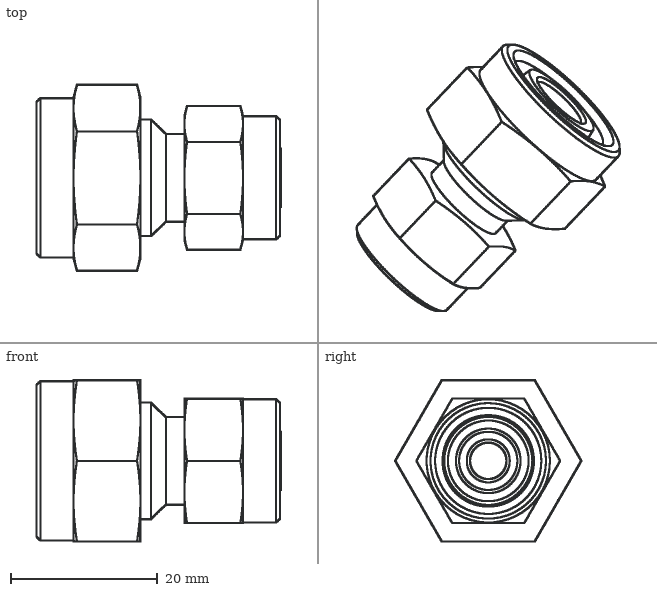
import cadquery as cq
import math

total_length = 33.4
hose_wall = 2.05
through_radius = 2.47

large_shoulder_radius = 7.98
large_across_flats = 22.0
large_collar_radius = 10.9
large_nut_length = 14.2
large_nose_setback = 0.4
large_bore_radius = 4.05
large_bore_end = 14.7
drill_point_angle = 118.0

small_shoulder_radius = 6.0
small_across_flats = 17.0
small_collar_radius = 8.42
small_nut_length = 13.05
small_nose_projection = 0.15

taper_start = 15.63
taper_end = 17.67

bore_chamfer = 0.47
lead_length = 2.2
lead_rise = 0.45
bead_radius = 0.57
root_length = 3.35
root_rise = 0.55
nose_length = lead_length + bead_radius + root_length

collar_length = 5.08
collar_chamfer = 0.55
lip_clearance = 0.25
mouth_flare = 1.0
hex_chamfer_angle = 15.0


def revolve_about_x(profile):
    """Revolve a closed profile, with x along the axis and y as radius, about the X axis."""
    return profile.close().revolve(360, (0, 0, 0), (1, 0, 0))


def make_nut(shoulder_radius, across_flats, collar_radius, length, shoulder_depth):
    """Nut with its mouth at x = 0, bored to fit the body shoulder beyond shoulder_depth."""
    flat_radius = across_flats / 2
    corner_radius = flat_radius / math.cos(math.pi / 6)
    corner_setback = (corner_radius - flat_radius) * math.tan(math.radians(hex_chamfer_angle))

    collar = revolve_about_x(
        cq.Workplane("XY")
        .moveTo(0, 0)
        .lineTo(0, collar_radius - collar_chamfer)
        .lineTo(collar_chamfer, collar_radius)
        .lineTo(collar_length, collar_radius)
        .lineTo(collar_length, 0)
    )
    hexagon = (
        cq.Workplane("YZ", origin=(collar_length, 0, 0))
        .polygon(6, 2 * corner_radius)
        .extrude(length - collar_length)
    )
    corner_trim = revolve_about_x(
        cq.Workplane("XY")
        .moveTo(collar_length, 0)
        .lineTo(collar_length, flat_radius)
        .lineTo(collar_length + corner_setback, corner_radius)
        .lineTo(length - corner_setback, corner_radius)
        .lineTo(length, flat_radius)
        .lineTo(length, 0)
    )
    lip_radius = shoulder_radius + lip_clearance
    bore = revolve_about_x(
        cq.Workplane("XY")
        .moveTo(0, 0)
        .lineTo(0, lip_radius + mouth_flare)
        .lineTo(mouth_flare, lip_radius)
        .lineTo(shoulder_depth, lip_radius)
        .lineTo(shoulder_depth, shoulder_radius)
        .lineTo(length, shoulder_radius)
        .lineTo(length, 0)
    )
    return collar.union(hexagon.intersect(corner_trim)).cut(bore)


def make_nose(shoulder_radius):
    """Hose nose with its tip at x = 0 and its root at the shoulder face."""
    tip_radius = shoulder_radius - hose_wall
    lead_radius = tip_radius + lead_rise
    crest_radius = lead_radius + bead_radius
    bead_end = lead_length + bead_radius
    arc_offset = bead_radius * math.sqrt(0.5)
    return revolve_about_x(
        cq.Workplane("XY")
        .moveTo(0, 0)
        .lineTo(0, tip_radius)
        .lineTo(lead_length, lead_radius)
        .threePointArc((bead_end - arc_offset, lead_radius + arc_offset), (bead_end, crest_radius))
        .lineTo(nose_length, crest_radius + root_rise)
        .lineTo(nose_length, 0)
    )


def make_body():
    """Reducing body: two noses, the tapered middle and the stepped bore."""
    large_shoulder_face = large_nose_setback + nose_length
    small_shoulder_face = total_length - nose_length
    middle = revolve_about_x(
        cq.Workplane("XY")
        .moveTo(large_shoulder_face, 0)
        .lineTo(large_shoulder_face, large_shoulder_radius)
        .lineTo(taper_start, large_shoulder_radius)
        .lineTo(taper_end, small_shoulder_radius)
        .lineTo(small_shoulder_face, small_shoulder_radius)
        .lineTo(small_shoulder_face, 0)
    )
    drill_point_length = (large_bore_radius - through_radius) / math.tan(math.radians(drill_point_angle / 2))
    large_nose = make_nose(large_shoulder_radius).translate((large_nose_setback, 0, 0))
    small_nose = make_nose(small_shoulder_radius).mirror("YZ").translate((total_length, 0, 0))
    bore = revolve_about_x(
        cq.Workplane("XY")
        .moveTo(large_nose_setback, 0)
        .lineTo(large_nose_setback, large_bore_radius + bore_chamfer)
        .lineTo(large_nose_setback + bore_chamfer, large_bore_radius)
        .lineTo(large_bore_end, large_bore_radius)
        .lineTo(large_bore_end + drill_point_length, through_radius)
        .lineTo(total_length - bore_chamfer, through_radius)
        .lineTo(total_length, through_radius + bore_chamfer)
        .lineTo(total_length, 0)
    )
    return middle.union(large_nose).union(small_nose).cut(bore)


body = make_body()
large_nut = make_nut(
    large_shoulder_radius,
    large_across_flats,
    large_collar_radius,
    large_nut_length,
    large_nose_setback + nose_length,
)
small_nut = make_nut(
    small_shoulder_radius,
    small_across_flats,
    small_collar_radius,
    small_nut_length,
    nose_length - small_nose_projection,
)
small_nut = small_nut.mirror("YZ").translate((total_length - small_nose_projection, 0, 0))

result = cq.Compound.makeCompound([body.val(), large_nut.val(), small_nut.val()])